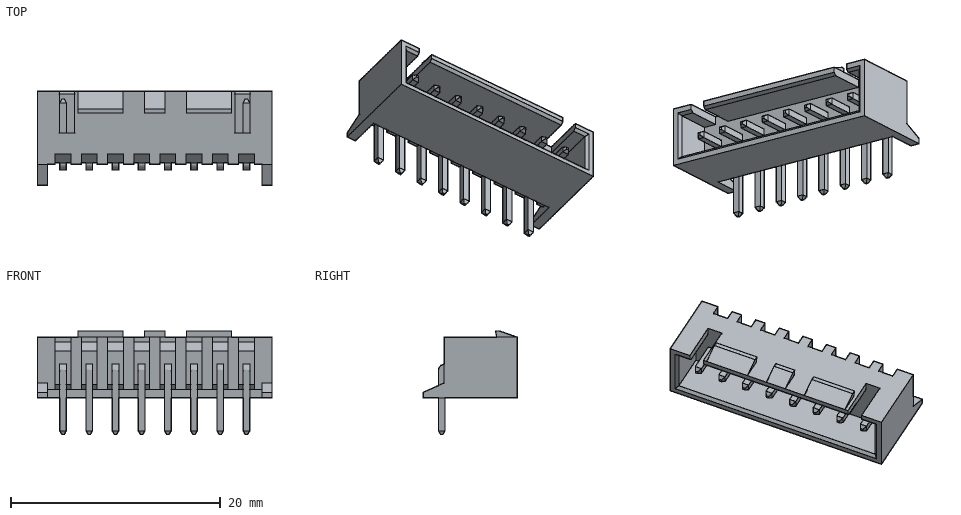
import math

import cadquery as cq


body_length = 22.4
body_depth = 7.0
body_height = 5.8

cavity_depth = 4.0
end_wall = 0.8
roof_thickness = 0.8
floor_thickness = 0.8
mouth_chamfer = 0.27

key_slot_width = 1.45
key_slot_inset = 2.1

tab_height = 0.6
tab_depth = 2.1
tab_crest = 0.4
tab_undercut = 0.115
side_tab_width = 4.32
side_tab_offset = 5.17
middle_tab_width = 2.0

pin_count = 8
pin_pitch = 2.5
pin_size = 0.65
pin_top = 3.24
pin_back = -0.55
tail_length = 3.49
mating_tip_inset = 0.78
tip_length = 0.35
tip_taper_angle = 31

notch_width = 1.5
notch_wall = 0.15
notch_top_depth = 1.0
notch_lip = 0.45

relief_height = 0.82
relief_depth = 1.0
notch_bottom_bevel = 0.46

foot_width = 0.97
foot_reach = 2.0
foot_root_height = 1.43
foot_tip_height = 0.54

mouth_y = body_depth
pin_positions = [(i - (pin_count - 1) / 2) * pin_pitch for i in range(pin_count)]


def block(x_range, y_range, z_range):
    """Box spanning the given (low, high) ranges."""
    (x0, x1), (y0, y1), (z0, z1) = x_range, y_range, z_range
    return cq.Workplane("XY").box(x1 - x0, y1 - y0, z1 - z0, centered=False).translate((x0, y0, z0))


def prism(points, width, x_center):
    """Closed Y-Z outline extruded along X to the given width about x_center."""
    profile = cq.Workplane("YZ", origin=(x_center, 0, 0)).polyline(points).close()
    return profile.extrude(width / 2, both=True)


def make_cavity():
    """Rectangular cavity whose mouth is chamfered all round."""
    cavity_length = body_length - 2 * end_wall
    cavity_height = body_height - roof_thickness - floor_thickness
    cavity = block(
        (-cavity_length / 2, cavity_length / 2),
        (mouth_y - cavity_depth, mouth_y),
        (floor_thickness, floor_thickness + cavity_height),
    )
    flare = (
        cq.Workplane("XZ", origin=(0, mouth_y, floor_thickness + cavity_height / 2))
        .rect(cavity_length + 2 * mouth_chamfer, cavity_height + 2 * mouth_chamfer)
        .workplane(offset=mouth_chamfer)
        .rect(cavity_length, cavity_height)
        .loft(ruled=True)
    )
    return cavity.union(flare)


def make_key_slot(side):
    """Roof slot at the -X end (side = -1) or the +X end (side = 1)."""
    x_center = side * (body_length / 2 - key_slot_inset - key_slot_width / 2)
    return block(
        (x_center - key_slot_width / 2, x_center + key_slot_width / 2),
        (mouth_y - cavity_depth, mouth_y),
        (body_height - roof_thickness, body_height),
    )


def make_notch(x_center):
    """Back notch with a 45 degree ramp at its top and a 45 degree bevel at its bottom."""
    ramp_bottom = body_height - notch_lip - (notch_top_depth - notch_wall)
    outline = [
        (0, body_height),
        (notch_top_depth, body_height),
        (notch_top_depth, body_height - notch_lip),
        (notch_wall, ramp_bottom),
        (notch_wall, relief_height + notch_bottom_bevel),
        (notch_wall + notch_bottom_bevel, relief_height),
        (0, relief_height),
    ]
    return prism(outline, notch_width, x_center)


def make_tab(width, x_center):
    """Latch tab that rises from the mouth to a flat crest and has an undercut back."""
    outline = [
        (mouth_y, body_height),
        (mouth_y - tab_depth + tab_crest, body_height + tab_height),
        (mouth_y - tab_depth, body_height + tab_height),
        (mouth_y - tab_depth + tab_undercut, body_height),
    ]
    return prism(outline, width, x_center)


def make_foot(side):
    """Sloped foot at the -X end (side = -1) or the +X end (side = 1)."""
    outline = [
        (relief_depth, 0),
        (-foot_reach, 0),
        (-foot_reach, foot_tip_height),
        (0, foot_root_height),
        (relief_depth, foot_root_height),
    ]
    return prism(outline, foot_width, side * (body_length - foot_width) / 2)


def make_pin_tip(direction, origin):
    """Square pyramid frustum growing from the pin end along direction."""
    end_size = pin_size - 2 * tip_length * math.tan(math.radians(tip_taper_angle))
    return (
        cq.Workplane(cq.Plane(origin=origin, xDir=(1, 0, 0), normal=direction))
        .rect(pin_size, pin_size)
        .workplane(offset=tip_length)
        .rect(end_size, end_size)
        .loft(ruled=True)
    )


def make_pin(x_center):
    """Right-angle pin, rounded on the outside of its bend."""
    mating_shoulder = mouth_y - mating_tip_inset - tip_length
    tail_shoulder = tip_length - tail_length
    inner_y = pin_back + pin_size
    inner_z = pin_top - pin_size
    bend_mid = pin_size * math.sqrt(0.5)
    shank = (
        cq.Workplane("YZ", origin=(x_center, 0, 0))
        .moveTo(mating_shoulder, inner_z)
        .lineTo(mating_shoulder, pin_top)
        .lineTo(inner_y, pin_top)
        .threePointArc((inner_y - bend_mid, inner_z + bend_mid), (pin_back, inner_z))
        .lineTo(pin_back, tail_shoulder)
        .lineTo(inner_y, tail_shoulder)
        .lineTo(inner_y, inner_z)
        .close()
        .extrude(pin_size / 2, both=True)
    )
    mating_tip = make_pin_tip((0, 1, 0), (x_center, mating_shoulder, pin_top - pin_size / 2))
    tail_tip = make_pin_tip((0, 0, -1), (x_center, pin_back + pin_size / 2, tail_shoulder))
    return shank.union(mating_tip).union(tail_tip)


def make_housing():
    half_length = body_length / 2
    housing = block((-half_length, half_length), (0, body_depth), (0, body_height))
    housing = housing.cut(make_cavity())
    housing = housing.cut(block((-half_length, half_length), (0, relief_depth), (0, relief_height)))
    for x_center in pin_positions:
        housing = housing.cut(make_notch(x_center))
    for side in (-1, 1):
        housing = housing.cut(make_key_slot(side))
        housing = housing.union(make_foot(side))
        housing = housing.union(make_tab(side_tab_width, side * side_tab_offset))
    return housing.union(make_tab(middle_tab_width, 0))


result = make_housing()
for pin_x in pin_positions:
    result = result.union(make_pin(pin_x))